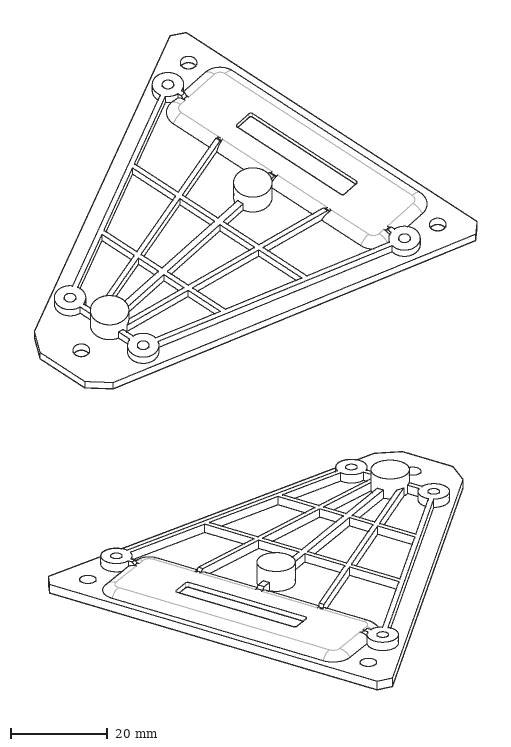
import cadquery as cq
import math

PLATE_TOP = 2.1
PAD_TOP = 3.4
RIB_TOP = 4.0
POST_TOP = 6.8

LENGTH = 85.8
HALF_WIDTH = 83.1 / 2
HALF_BACK_EDGE = 39.5
BACK_CLIP_Y = 82.9
HALF_FRONT_EDGE = 6.1
HALF_FRONT_CLIP = 10.7
FRONT_CLIP_Y = 3.6

MOUNT_HOLE_DIAMETER = 3.4
REAR_MOUNT_X = 33.9
REAR_MOUNT_Y = 79.85
FRONT_MOUNT_Y = 6.0

BOSS_DIAMETER = 6.5
BOSS_HOLE_DIAMETER = 2.4
REAR_BOSS_X = 32.2
REAR_BOSS_Y = 71.3
FRONT_BOSS_X = 9.95
FRONT_BOSS_Y = 14.1

POST_DIAMETER = 8.0
REAR_POST_Y = 60.6
FRONT_POST_Y = 15.0

PAD_CENTER_Y = 74.6
PAD_LENGTH = 60.0
PAD_WIDTH = 19.9
PAD_CORNER_RADIUS = 4.55
PAD_EDGE_RADIUS = 3.0
PAD_WALL = 1.2
SLOT_LENGTH = 29.2
SLOT_WIDTH = 4.8
SLOT_CORNER_RADIUS = 0.5

RIB_WIDTH = 1.1
CENTER_RIB_WIDTH = 1.5
CROSS_RIB_YS = (49.8, 32.0)
SPOKE_REAR_X = 14.8
SPOKE_REAR_Y = 67.7
SPOKE_FRONT_X = 3.1
RIB_END_GAP = 0.4
RIB_END_ANGLE = 45

boss_points = [
    (-REAR_BOSS_X, REAR_BOSS_Y),
    (REAR_BOSS_X, REAR_BOSS_Y),
    (-FRONT_BOSS_X, FRONT_BOSS_Y),
    (FRONT_BOSS_X, FRONT_BOSS_Y),
]
post_points = [(0, REAR_POST_Y), (0, FRONT_POST_Y)]
mount_points = [(-REAR_MOUNT_X, REAR_MOUNT_Y), (REAR_MOUNT_X, REAR_MOUNT_Y), (0, FRONT_MOUNT_Y)]


def cylinders(points, diameter, bottom, top):
    """Equal upright cylinders between two heights."""
    return (
        cq.Workplane("XY", origin=(0, 0, bottom))
        .pushPoints(points)
        .circle(diameter / 2)
        .extrude(top - bottom)
    )


def rib(start, end, width=RIB_WIDTH):
    """A straight rib standing on the plate between two points."""
    dx = end[0] - start[0]
    dy = end[1] - start[1]
    middle = ((start[0] + end[0]) / 2, (start[1] + end[1]) / 2, PLATE_TOP)
    return (
        cq.Workplane("XY")
        .rect(math.hypot(dx, dy), width)
        .extrude(RIB_TOP - PLATE_TOP)
        .rotate((0, 0, 0), (0, 0, 1), math.degrees(math.atan2(dy, dx)))
        .translate(middle)
    )


def rounded_block(inset):
    """The pad body shrunk by an inset on its sides and top, with rounded upper edges."""
    return (
        cq.Workplane("XY", origin=(0, PAD_CENTER_Y, 0))
        .rect(PAD_LENGTH - 2 * inset, PAD_WIDTH - 2 * inset)
        .extrude(PAD_TOP - inset)
        .edges("|Z")
        .fillet(PAD_CORNER_RADIUS - inset)
        .faces(">Z")
        .edges()
        .fillet(PAD_EDGE_RADIUS - inset)
    )


def side_rib_x(y):
    """Distance of the side rib from the centre line at a given Y."""
    slope = (REAR_BOSS_X - FRONT_BOSS_X) / (REAR_BOSS_Y - FRONT_BOSS_Y)
    return FRONT_BOSS_X + slope * (y - FRONT_BOSS_Y)


def make_plate():
    right_side = [
        (HALF_FRONT_EDGE, 0),
        (HALF_FRONT_CLIP, FRONT_CLIP_Y),
        (HALF_WIDTH, BACK_CLIP_Y),
        (HALF_BACK_EDGE, LENGTH),
    ]
    left_side = [(-x, y) for x, y in reversed(right_side)]
    return cq.Workplane("XY").polyline(right_side + left_side).close().extrude(PLATE_TOP)


def make_ribs():
    ribs = rib((0, FRONT_POST_Y), (0, PAD_CENTER_Y), CENTER_RIB_WIDTH)
    for y in CROSS_RIB_YS:
        ribs = ribs.union(rib((-side_rib_x(y), y), (side_rib_x(y), y)))
    for boss_x, boss_y in boss_points:
        ribs = ribs.union(rib((boss_x, boss_y), (0, boss_y)))
    for side in (-1, 1):
        side_rib = rib((side * REAR_BOSS_X, REAR_BOSS_Y), (side * FRONT_BOSS_X, FRONT_BOSS_Y))
        spoke = rib((side * SPOKE_REAR_X, SPOKE_REAR_Y), (side * SPOKE_FRONT_X, FRONT_POST_Y))
        ribs = ribs.union(side_rib).union(spoke)

    foot_inset = PAD_EDGE_RADIUS - RIB_END_GAP
    pad_clearance = (
        cq.Workplane("XY", origin=(0, PAD_CENTER_Y, PAD_TOP))
        .rect(PAD_LENGTH - 2 * foot_inset, PAD_WIDTH - 2 * foot_inset)
        .extrude(RIB_TOP - PAD_TOP, taper=-RIB_END_ANGLE)
    )
    return ribs.cut(pad_clearance)


slot = (
    cq.Workplane("XY", origin=(0, PAD_CENTER_Y, 0))
    .rect(SLOT_LENGTH, SLOT_WIDTH)
    .extrude(PAD_TOP)
    .edges("|Z")
    .fillet(SLOT_CORNER_RADIUS)
)

result = (
    make_plate()
    .union(rounded_block(0))
    .union(make_ribs())
    .union(cylinders(boss_points, BOSS_DIAMETER, 0, RIB_TOP))
    .union(cylinders(post_points, POST_DIAMETER, 0, POST_TOP))
)

result = (
    result.cut(rounded_block(PAD_WALL))
    .cut(slot)
    .cut(cylinders(boss_points, BOSS_HOLE_DIAMETER, 0, RIB_TOP))
    .cut(cylinders(mount_points, MOUNT_HOLE_DIAMETER, 0, PLATE_TOP))
)